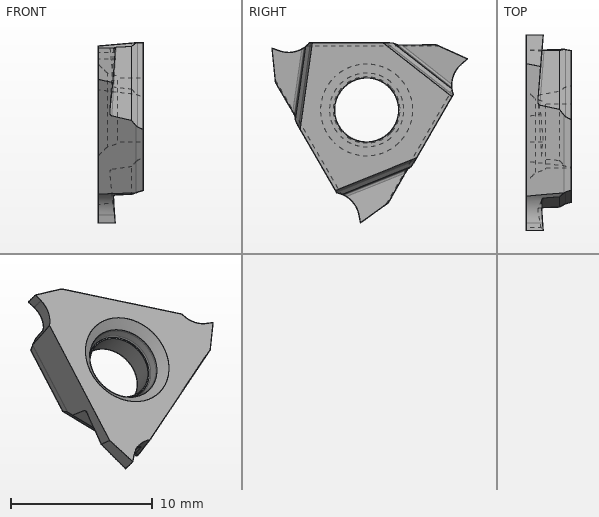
import cadquery as cq
import math

TEETH = 3
THICKNESS = 3.19
OVERSIZE = 11.03

FACE_APOTHEM = 4.51
SIDE_LEAN = 5.0
LEAN_DEPTH = 2.68

TIP_Y = 7.12
TIP_Z = 3.6
FLANK_ANGLE = 24.2

GULLET_Y = 7.94
GULLET_Z = 1.75
GULLET_RADIUS = 1.95
EDGE_EXTENSION = 0.41

TOOTH_THICKNESS = 1.21
FLOOR_SLOPE = 5.0
FLOOR_TURN = 8.0
WALL_ANGLE = 38.0
WALL_DISTANCE = 5.02
WALL_END_X = 2.35
WALL_END_DISTANCE = 4.87
BEVEL_DISTANCE = 4.58
BEVEL_END_X = 2.76
BACK_DISTANCE = 4.44
FLOOR_FILLET = 0.17

ENTRY_RADIUS = 3.24
SEAT_RADIUS = 2.6
SEAT_X = 0.65
TRANSITION_RADIUS = 2.56
TRANSITION_X = 0.75
LIP_RADIUS = 2.41
LIP_X = 1.27
STEP_RADIUS = 2.35
STEP_X = 1.38
BORE_RADIUS = 2.25


def triangle(apothem, x):
    """Triangle with a flat top side, centred on the axis."""
    corner = 2 * apothem
    points = []
    for side in range(TEETH):
        angle = math.radians(30 + side * 360 / TEETH)
        points.append((corner * math.cos(angle), corner * math.sin(angle)))
    return cq.Workplane("YZ", origin=(x, 0, 0)).polyline(points).close()


def make_body():
    outer_apothem = FACE_APOTHEM + LEAN_DEPTH * math.tan(math.radians(SIDE_LEAN))
    leaning = triangle(FACE_APOTHEM, 0).extrude(LEAN_DEPTH, taper=-SIDE_LEAN)
    straight = triangle(outer_apothem, LEAN_DEPTH).extrude(THICKNESS - LEAN_DEPTH)
    return leaning.union(straight)


def tilt_toward_tip(shape, angle):
    """Turn a shape facing +Z about the hole axis, toward +Y."""
    return shape.rotate((0, 0, 0), (1, 0, 0), -angle)


def flank_tool():
    angle = math.radians(FLANK_ANGLE)
    distance = TIP_Y * math.sin(angle) + TIP_Z * math.cos(angle)
    block = cq.Workplane("XY").box(THICKNESS, 2 * OVERSIZE, OVERSIZE, centered=(False, True, False))
    return tilt_toward_tip(block.translate((0, 0, distance)), FLANK_ANGLE)


def gullet_tool():
    """Cylinder with a flat leading from its tangent point to the tooth tip."""
    to_tip_y = TIP_Y - GULLET_Y
    to_tip_z = TIP_Z - GULLET_Z
    reach = math.hypot(to_tip_y, to_tip_z)
    tangent_angle = math.atan2(to_tip_z, to_tip_y) + math.acos(GULLET_RADIUS / reach)
    tangent_y = GULLET_Y + GULLET_RADIUS * math.cos(tangent_angle)
    tangent_z = GULLET_Z + GULLET_RADIUS * math.sin(tangent_angle)
    flat_length = math.sqrt(reach**2 - GULLET_RADIUS**2)
    stretch = 1 + EDGE_EXTENSION / flat_length
    end_y = tangent_y + stretch * (TIP_Y - tangent_y)
    end_z = tangent_z + stretch * (TIP_Z - tangent_z)

    centre = (GULLET_Y, GULLET_Z)
    round_part = cq.Workplane("YZ").center(*centre).circle(GULLET_RADIUS).extrude(THICKNESS)
    flat_points = [centre, (tangent_y, tangent_z), (end_y, end_z)]
    flat_part = cq.Workplane("YZ").polyline(flat_points).close().extrude(THICKNESS)
    return round_part.union(flat_part)


def pocket_tool():
    profile = [
        (0, WALL_DISTANCE),
        (WALL_END_X, WALL_END_DISTANCE),
        (BEVEL_END_X, BEVEL_DISTANCE),
        (THICKNESS, BACK_DISTANCE),
        (THICKNESS, OVERSIZE),
        (0, OVERSIZE),
    ]
    space = cq.Workplane("XZ").polyline(profile).close().extrude(OVERSIZE, both=True)
    space = tilt_toward_tip(space, WALL_ANGLE)
    floor = (
        cq.Workplane("XY")
        .box(OVERSIZE, 4 * OVERSIZE, 4 * OVERSIZE, centered=(False, True, True))
        .rotate((0, 0, 0), (0, 0, 1), -FLOOR_SLOPE)
        .rotate((0, 0, 0), (1, 0, 0), FLOOR_TURN)
        .translate((TOOTH_THICKNESS, TIP_Y, TIP_Z))
    )
    pocket = space.intersect(floor)
    angle = math.radians(WALL_ANGLE)
    wall_point = (0, WALL_DISTANCE * math.sin(angle), WALL_DISTANCE * math.cos(angle))
    floor_corner = cq.selectors.NearestToPointSelector(wall_point)
    return pocket.edges(floor_corner).fillet(FLOOR_FILLET)


def hole_tool():
    profile = [
        (0, 0),
        (0, ENTRY_RADIUS),
        (SEAT_X, SEAT_RADIUS),
        (TRANSITION_X, TRANSITION_RADIUS),
        (LIP_X, LIP_RADIUS),
        (STEP_X, STEP_RADIUS),
        (STEP_X, BORE_RADIUS),
        (THICKNESS, BORE_RADIUS),
        (THICKNESS, 0),
    ]
    return cq.Workplane("XY").polyline(profile).close().revolve(360, (0, 0, 0), (1, 0, 0))


result = make_body().cut(hole_tool())
tooth_tools = [flank_tool(), gullet_tool(), pocket_tool()]
for tooth in range(TEETH):
    for tool in tooth_tools:
        result = result.cut(tool.rotate((0, 0, 0), (1, 0, 0), tooth * 360 / TEETH))